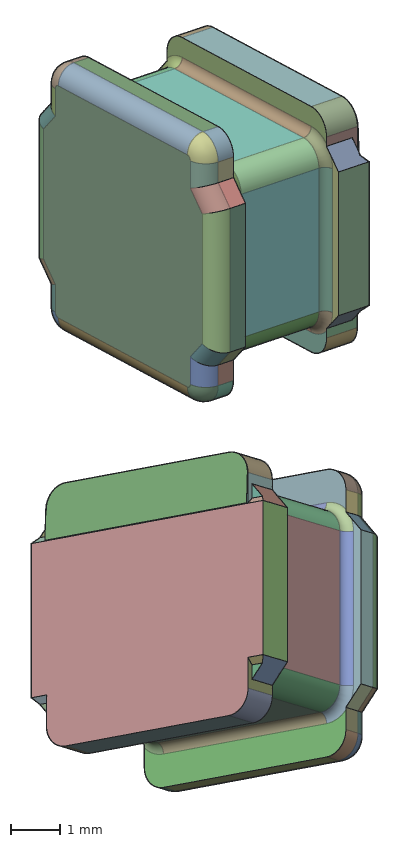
import cadquery as cq

DRUM_LENGTH = 4.0
FLANGE_THICKNESS = 0.8
FLANGE_HALF_WIDTH = 2.605
FRONT_HALF_HEIGHT = 3.0
BACK_HALF_HEIGHT = 2.75
CORNER_RADIUS = 0.5
RIM_RADIUS = 0.4

EAR_HALF_WIDTH = 2.995
EAR_TIP_HALF_HEIGHT = 1.61
EAR_ROOT_HALF_HEIGHT = 2.04

CORE_HALF_WIDTH = FLANGE_HALF_WIDTH
CORE_HALF_HEIGHT = EAR_TIP_HALF_HEIGHT + CORNER_RADIUS
CORE_FILLET = 0.2

EAR_STEP_DEPTH = 0.13

TERMINAL_RISE = 0.05

FRONT_Y = -(DRUM_LENGTH + TERMINAL_RISE) / 2
BACK_Y = FRONT_Y + DRUM_LENGTH
FRONT_INNER_Y = FRONT_Y + FLANGE_THICKNESS
BACK_INNER_Y = BACK_Y - FLANGE_THICKNESS
MID_CORE_Y = (FRONT_INNER_Y + BACK_INNER_Y) / 2


def rounded_block(half_width, half_height, y_start, y_end):
    """A block along Y, centred on the axis, with its four long edges rounded."""
    return (
        cq.Workplane("XZ", origin=(0, y_start, 0))
        .rect(2 * half_width, 2 * half_height)
        .extrude(y_start - y_end)
        .edges("|Y")
        .fillet(CORNER_RADIUS)
    )


def ears(y_start, y_end):
    """A plate across the flange whose tapered ends stick out as the two ears."""
    right_end = [
        (FLANGE_HALF_WIDTH, -EAR_ROOT_HALF_HEIGHT),
        (EAR_HALF_WIDTH, -EAR_TIP_HALF_HEIGHT),
        (EAR_HALF_WIDTH, EAR_TIP_HALF_HEIGHT),
        (FLANGE_HALF_WIDTH, EAR_ROOT_HALF_HEIGHT),
    ]
    left_end = [(-x, -z) for x, z in right_end]
    return (
        cq.Workplane("XZ", origin=(0, y_start, 0))
        .polyline(right_end + left_end)
        .close()
        .extrude(y_start - y_end)
    )


def flange(half_height, y_start, y_end):
    """A flange plate with rounded corners and both ears."""
    plate = rounded_block(FLANGE_HALF_WIDTH, half_height, y_start, y_end)
    return plate.union(ears(y_start, y_end))


def core_flare(flange_y, core_y, half_height):
    """Concave fillet from the core out to a flange face, trimmed to the flange outline."""
    oversize_plate_y = 2 * flange_y - core_y
    oversize_plate = (
        cq.Workplane("XZ", origin=(0, oversize_plate_y, 0))
        .rect(4 * EAR_HALF_WIDTH, 4 * EAR_HALF_WIDTH)
        .extrude(oversize_plate_y - flange_y)
    )
    core_end = rounded_block(CORE_HALF_WIDTH, CORE_HALF_HEIGHT, flange_y, MID_CORE_Y)
    joint_edges = cq.selectors.BoxSelector(
        (-EAR_HALF_WIDTH, oversize_plate_y, -EAR_HALF_WIDTH),
        (EAR_HALF_WIDTH, core_y, EAR_HALF_WIDTH),
        boundingbox=True,
    )
    filleted = oversize_plate.union(core_end).edges(joint_edges).fillet(CORE_FILLET)
    return filleted.intersect(flange(half_height, flange_y, core_y))


def ear_step(side):
    """Cutter for the step in both ears above (side = 1) or below (side = -1) the middle."""
    step_floor_y = BACK_Y - EAR_STEP_DEPTH
    profile = [
        (BACK_Y, side * EAR_TIP_HALF_HEIGHT),
        (step_floor_y, side * (EAR_TIP_HALF_HEIGHT + EAR_STEP_DEPTH)),
        (step_floor_y, side * EAR_ROOT_HALF_HEIGHT),
        (BACK_Y, side * EAR_ROOT_HALF_HEIGHT),
    ]
    across = cq.Workplane("YZ").polyline(profile).close().extrude(EAR_HALF_WIDTH, both=True)
    middle = cq.Workplane("XY").box(2 * FLANGE_HALF_WIDTH, 2 * DRUM_LENGTH, 2 * FRONT_HALF_HEIGHT)
    return across.cut(middle)


def make_drum():
    """The core, its two flanges and the flares between them, as one solid."""
    front = flange(FRONT_HALF_HEIGHT, FRONT_Y, FRONT_INNER_Y)
    front = front.faces("<Y").edges().fillet(RIM_RADIUS)
    back = flange(BACK_HALF_HEIGHT, BACK_INNER_Y, BACK_Y)
    for side in (1, -1):
        back = back.cut(ear_step(side))
    drum = rounded_block(CORE_HALF_WIDTH, CORE_HALF_HEIGHT, FRONT_INNER_Y, BACK_INNER_Y)
    drum = drum.union(core_flare(FRONT_INNER_Y, FRONT_INNER_Y + CORE_FILLET, FRONT_HALF_HEIGHT))
    drum = drum.union(core_flare(BACK_INNER_Y, BACK_INNER_Y - CORE_FILLET, BACK_HALF_HEIGHT))
    return drum.union(front).union(back)


def make_terminal():
    """Wedge that rises from the top edge of the back face and ends level with the ear tips."""
    profile = [
        (BACK_Y, BACK_HALF_HEIGHT),
        (BACK_Y, EAR_TIP_HALF_HEIGHT),
        (BACK_Y + TERMINAL_RISE, EAR_TIP_HALF_HEIGHT),
    ]
    wedge = cq.Workplane("YZ").polyline(profile).close().extrude(FLANGE_HALF_WIDTH, both=True)
    outline = rounded_block(FLANGE_HALF_WIDTH, BACK_HALF_HEIGHT, BACK_Y, BACK_Y + TERMINAL_RISE)
    return wedge.intersect(outline)


drum = make_drum()
terminal = make_terminal()
result = cq.Compound.makeCompound([drum.val(), terminal.val()])